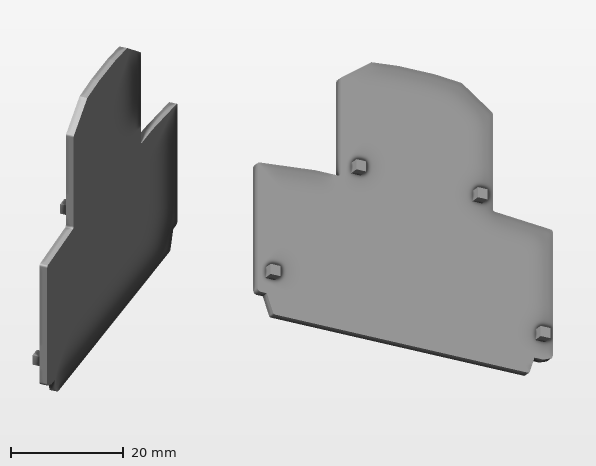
import cadquery as cq

plate_thickness = 1.5
plate_width = 60.0
plate_height = 53.9
side_y = plate_width / 2

tower_center_y = -2.35
tower_width = 30.95
tower_side_top_z = 48.95
crown_width = 18.35
crown_edge_z = 53.4
crown_flat_width = 7.4
tower_left_y = tower_center_y + tower_width / 2
tower_right_y = tower_center_y - tower_width / 2

shoulder_inner_z = 29.9
shoulder_outer_z = 28.85
shoulder_bend_y = 18.25

foot_left_y = 26.7
foot_right_y = -25.25
left_notch_y = 28.1
left_notch_z = 3.8
right_notch_y = -26.3
right_notch_z = 3.25
right_notch_bend_y = -28.1
right_side_bottom_z = 3.95

corner_radius = 0.4
side_bottom_radius = 0.7

peg_size = 2.0
peg_length = 2.0
lower_peg_y = 27.4
lower_peg_z = 7.7
upper_peg_z = 31.85
upper_peg_spacing = 24.65
upper_peg_center_y = tower_center_y


def make_plate():
    """Extrude the stepped outline along X and round its corners."""
    bottom_corners = [(foot_right_y, 0), (foot_left_y, 0)]
    side_bottom_corners = [(side_y, left_notch_z), (-side_y, right_side_bottom_z)]
    shoulder_corners = [
        (side_y, shoulder_outer_z),
        (tower_left_y, shoulder_inner_z),
        (tower_right_y, shoulder_inner_z),
        (-side_y, shoulder_outer_z),
    ]
    tower_corners = [(tower_left_y, tower_side_top_z), (tower_right_y, tower_side_top_z)]
    outline = [
        *bottom_corners,
        (left_notch_y, left_notch_z),
        side_bottom_corners[0],
        shoulder_corners[0],
        (shoulder_bend_y, shoulder_inner_z),
        shoulder_corners[1],
        tower_corners[0],
        (tower_center_y + crown_width / 2, crown_edge_z),
        (tower_center_y + crown_flat_width / 2, plate_height),
        (tower_center_y - crown_flat_width / 2, plate_height),
        (tower_center_y - crown_width / 2, crown_edge_z),
        tower_corners[1],
        shoulder_corners[2],
        shoulder_corners[3],
        side_bottom_corners[1],
        (right_notch_bend_y, right_notch_z),
        (right_notch_y, right_notch_z),
    ]
    plate = cq.Workplane("YZ").polyline(outline).close().extrude(plate_thickness)
    plate = round_corners(plate, bottom_corners + shoulder_corners + tower_corners, corner_radius)
    return round_corners(plate, side_bottom_corners, side_bottom_radius)


def round_corners(plate, corners, radius):
    """Fillet the through-thickness edge at each (y, z) corner."""
    for y, z in corners:
        edge = cq.selectors.NearestToPointSelector((plate_thickness / 2, y, z))
        plate = plate.edges("|X").edges(edge).fillet(radius)
    return plate


def make_pegs():
    """Four square pegs standing out from the -X face."""
    positions = [
        (lower_peg_y, lower_peg_z),
        (-lower_peg_y, lower_peg_z),
        (upper_peg_center_y + upper_peg_spacing / 2, upper_peg_z),
        (upper_peg_center_y - upper_peg_spacing / 2, upper_peg_z),
    ]
    return cq.Workplane("YZ").pushPoints(positions).rect(peg_size, peg_size).extrude(-peg_length)


result = make_plate().union(make_pegs())